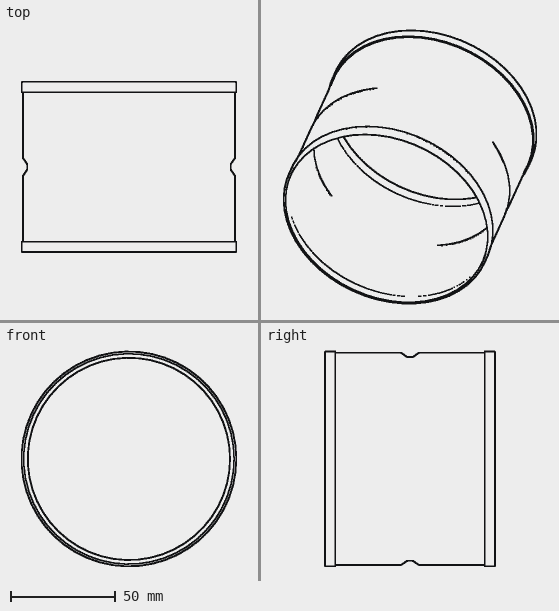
import cadquery as cq
import math

length = 81.1
collar_diameter = 102.5
collar_width = 5.0
collar_edge_radius = 0.5
tube_diameter = 101.2
groove_diameter = 97.2
wall = 0.5
groove_floor_width = 2.5
flank_angle = math.radians(35)
inner_bend_radius = 0.5

outer_bend_radius = inner_bend_radius + wall
tube_radius = tube_diameter / 2
groove_radius = groove_diameter / 2
bore_radius = tube_radius - wall

shoulder_centre_radius = tube_radius - outer_bend_radius
floor_centre_radius = groove_radius + inner_bend_radius
floor_centre_y = groove_floor_width / 2
bend_sum = inner_bend_radius + outer_bend_radius
flank_drop = tube_radius - groove_radius - bend_sum * (1 - math.cos(flank_angle))
flank_run = flank_drop / math.tan(flank_angle)
shoulder_centre_y = floor_centre_y + flank_run + bend_sum * math.sin(flank_angle)


def bend_points(centre_radius, centre_y, radius, direction):
    """Flat end, middle and flank end of a bend; direction +1 faces outward, -1 faces inward."""
    return [
        (
            centre_radius + direction * radius * math.cos(angle),
            centre_y - direction * radius * math.sin(angle),
        )
        for angle in (0, flank_angle / 2, flank_angle)
    ]


def mirrored(points):
    """The same points on the -Y half."""
    return [(radius, -y) for radius, y in points]


def grooved_solid(radius, shoulder_bend, floor_bend):
    """Solid bounded by one skin of the grooved tube."""
    shoulder = bend_points(shoulder_centre_radius, shoulder_centre_y, shoulder_bend, 1)
    floor = bend_points(floor_centre_radius, floor_centre_y, floor_bend, -1)
    low_shoulder = mirrored(shoulder)
    low_floor = mirrored(floor)
    return (
        cq.Workplane("XY")
        .moveTo(0, -length / 2)
        .lineTo(radius, -length / 2)
        .lineTo(*low_shoulder[0])
        .threePointArc(low_shoulder[1], low_shoulder[2])
        .lineTo(*low_floor[2])
        .threePointArc(low_floor[1], low_floor[0])
        .lineTo(*floor[0])
        .threePointArc(floor[1], floor[2])
        .lineTo(*shoulder[2])
        .threePointArc(shoulder[1], shoulder[0])
        .lineTo(radius, length / 2)
        .lineTo(0, length / 2)
        .close()
        .revolve(360, (0, 0, 0), (0, 1, 0))
    )


def collar_ring():
    """Plain collar at the +Y end, solid through its middle."""
    return cq.Workplane("XZ", origin=(0, length / 2, 0)).circle(collar_diameter / 2).extrude(collar_width)


outside = grooved_solid(tube_radius, outer_bend_radius, inner_bend_radius)
inside = grooved_solid(bore_radius, inner_bend_radius, outer_bend_radius)
collared = outside.union(collar_ring()).union(collar_ring().mirror("XZ"))

rounded = collared.faces("<Y or >Y").edges().fillet(collar_edge_radius)
result = rounded.cut(inside)